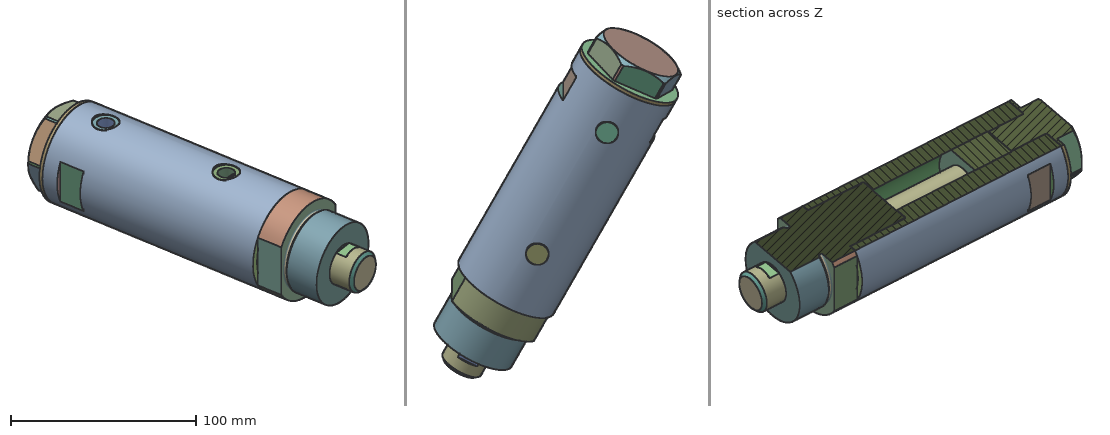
import cadquery as cq
import math

hex_end = 12.5
flange_end = 14.5
cap_spigot_end = 38.5
piston_length = 25.0
gland_spigot_start = 117.1
housing_end = 155.0
collar_end = 170.7
gland_end = 193.5
rod_tip = 208.5

body_radius = 59.0 / 2
bore_radius = 20.8
gland_seat_radius = 25.8
nose_radius = 24.0
rod_radius = 24.0 / 2

hex_across_flats = 45.9
hex_tip_radius = 26.0
hex_face_radius = 22.7
hex_chamfer_length = 2.5
hex_tilt = 7.5

pocket_start = 24.4
pocket_end = 39.8
pocket_half_width = 26.5
collar_half_width = 25.0

port_pitch = 80.5
port_x = 35.5
port_diameter = 9.5
spotface_diameter = 15.0
spotface_depth = 1.3
pad_x = 39.0
pad_diameter = 12.3
pad_height = 1.0

groove_radius = 23.0
groove_fillet = 0.6
groove_floor_reach = 1.9

rod_flat_half_height = 10.5
rod_flat_end = 199.9
rod_chamfer = 1.9


def revolve_about_x(profile):
    """Turn a closed (x, z) profile a full turn about the X axis."""
    return profile.close().revolve(360, (0, 0, 0), (1, 0, 0))


def turned(points):
    """Revolve a stepped outline of (x, radius) points about the X axis."""
    return revolve_about_x(cq.Workplane("XZ").polyline(points))


def cylinder_x(x_start, x_end, radius):
    return turned([(x_start, 0), (x_start, radius), (x_end, radius), (x_end, 0)])


def side_cutters(x_start, x_end, half_width):
    """Two blocks that leave a pair of flats at Y = +/- half_width."""
    depth = body_radius
    cutters = cq.Workplane("XY")
    for side in (-1, 1):
        block = cq.Workplane("XY").box(x_end - x_start, depth, 2 * body_radius)
        middle = ((x_start + x_end) / 2, side * (half_width + depth / 2), 0)
        cutters = cutters.add(block.translate(middle))
    return cutters.combine()


def make_cap():
    """End cap: chamfered hexagon head, flange and a spigot that plugs the bore."""
    hex_corner_diameter = hex_across_flats / math.cos(math.radians(30))
    hexagon = cq.Workplane("YZ").polygon(6, hex_corner_diameter).extrude(hex_end)
    head_envelope = turned([
        (0, 0),
        (0, hex_face_radius),
        (hex_chamfer_length, hex_tip_radius),
        (hex_end, hex_tip_radius),
        (hex_end, 0),
    ])
    head = hexagon.intersect(head_envelope)
    flange_and_spigot = turned([
        (hex_end, 0),
        (hex_end, body_radius),
        (flange_end, body_radius),
        (flange_end, bore_radius),
        (cap_spigot_end, bore_radius),
        (cap_spigot_end, 0),
    ])
    return head.union(flange_and_spigot).rotate((0, 0, 0), (1, 0, 0), -hex_tilt)


def make_housing():
    """Tube with wrench pockets, a stepped bore, two ports on top and two pads below."""
    tube = cylinder_x(flange_end, housing_end, body_radius)
    pad_bottom = -(body_radius + pad_height)
    pads = (
        cq.Workplane("XY", origin=(0, 0, pad_bottom))
        .pushPoints([(pad_x, 0), (pad_x + port_pitch, 0)])
        .circle(pad_diameter / 2)
        .extrude(body_radius)
    )
    bore = cylinder_x(flange_end, housing_end, bore_radius)
    gland_seat = cylinder_x(gland_spigot_start, housing_end, gland_seat_radius)
    tube = tube.union(pads).cut(bore).cut(gland_seat)
    tube = tube.cut(side_cutters(pocket_start, pocket_end, pocket_half_width))
    ports = (
        cq.Workplane("XY", origin=(0, 0, body_radius - spotface_depth))
        .pushPoints([(port_x, 0), (port_x + port_pitch, 0)])
    )
    spotfaces = ports.circle(spotface_diameter / 2).extrude(body_radius)
    holes = ports.circle(port_diameter / 2).extrude(spotface_depth - body_radius)
    return tube.cut(spotfaces).cut(holes)


def make_gland():
    """Rod guide: spigot in the wider end of the bore, flatted collar, undercut and nose."""
    fillet_end = collar_end + groove_fillet
    groove_flat_end = collar_end + groove_floor_reach
    cone_end = groove_flat_end + nose_radius - groove_radius
    profile = (
        cq.Workplane("XZ")
        .moveTo(gland_spigot_start, rod_radius)
        .lineTo(gland_spigot_start, gland_seat_radius)
        .lineTo(housing_end, gland_seat_radius)
        .lineTo(housing_end, body_radius)
        .lineTo(collar_end, body_radius)
        .lineTo(collar_end, groove_radius + groove_fillet)
        .radiusArc((fillet_end, groove_radius), -groove_fillet)
        .lineTo(groove_flat_end, groove_radius)
        .lineTo(cone_end, nose_radius)
        .lineTo(gland_end, nose_radius)
        .lineTo(gland_end, rod_radius)
    )
    return revolve_about_x(profile).cut(side_cutters(housing_end, collar_end, collar_half_width))


def make_rod():
    """Piston against the cap spigot, with a rod that has two flats and a chamfered tip."""
    piston_end = cap_spigot_end + piston_length
    rod = turned([
        (cap_spigot_end, 0),
        (cap_spigot_end, bore_radius),
        (piston_end, bore_radius),
        (piston_end, rod_radius),
        (rod_tip - rod_chamfer, rod_radius),
        (rod_tip, rod_radius - rod_chamfer),
        (rod_tip, 0),
    ])
    flat_length = rod_flat_end - gland_end
    for side in (-1, 1):
        block = cq.Workplane("XY").box(flat_length, 2 * rod_radius, rod_radius)
        middle_z = side * (rod_flat_half_height + rod_radius / 2)
        rod = rod.cut(block.translate((gland_end + flat_length / 2, 0, middle_z)))
    return rod


cap = make_cap()
housing = make_housing()
gland = make_gland()
rod = make_rod()

result = cq.Compound.makeCompound([cap.val(), housing.val(), gland.val(), rod.val()])